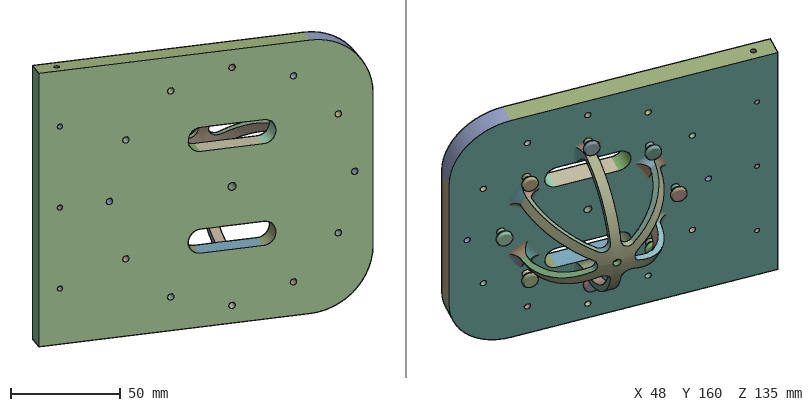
import cadquery as cq
import math

plate_thickness = 10.0
plate_length = 160.0
plate_height = 135.0
corner_radius = 30.0
plate_top = plate_height / 2
plate_front_end = plate_height / 2 - plate_length
cut_margin = 1.6

overall_depth = 48.0
dome_outer_radius = overall_depth - plate_thickness
dome_thickness = 3.0
dome_inner_radius = dome_outer_radius - dome_thickness
arm_count = 6
arm_width = 5.1
arm_junction_radius = 4.0
arm_foot_radius = 4.0

post_count = 8
post_circle_radius = 42.4
post_head_radius = 3.8
post_stem_radius = 2.0
post_section_height = 2.0
post_height = 3 * post_section_height
post_head_fillet = 0.8

slot_length = 42.0
slot_width = 11.8
slot_offset = 25.1
ring_hole_count = 12
ring_hole_circle_radius = 58.7
ring_hole_diameter = 3.0
axis_hole_diameter = 3.8
end_hole_diameter = 2.4
end_hole_inset = 10.0
end_hole_spacing = 40.0
end_hole_y = plate_front_end + end_hole_inset
edge_hole_radius = 1.3
edge_hole_depth = 10.0
drill_point_angle = 118.0


def ring_points(radius, count):
    """Return evenly spaced (y, z) points on a circle about the dome axis."""
    angles = [math.radians(360 * i / count) for i in range(count)]
    return [(radius * math.cos(a), radius * math.sin(a)) for a in angles]


def make_plate():
    plate = cq.Workplane("XY").box(
        plate_thickness, plate_length, plate_height, centered=(False, False, True)
    ).translate((0, plate_front_end, 0))
    return plate.edges("|X and >Y").fillet(corner_radius)


def make_arms():
    """Hemispherical shell trimmed to a six-armed star as seen along X."""
    shell = cq.Workplane("YZ").sphere(dome_outer_radius)
    shell = shell.cut(cq.Workplane("YZ").sphere(dome_inner_radius))

    bar_depth = dome_outer_radius + cut_margin
    bar = cq.Workplane("YZ").rect(arm_width, 2 * bar_depth).extrude(-bar_depth)
    star = bar
    for i in range(1, arm_count // 2):
        star = star.union(bar.rotate((0, 0, 0), (1, 0, 0), i * 360 / arm_count))

    corner_reach = arm_width + cut_margin
    inner_corners = cq.selectors.BoxSelector(
        (-bar_depth, -corner_reach, -corner_reach),
        (0, corner_reach, corner_reach),
    )
    star = star.edges("|X").edges(inner_corners).fillet(arm_junction_radius)
    return shell.intersect(star)


def make_post():
    """Peg revolved about X: stem, flared neck and rounded head."""
    neck_end = 2 * post_section_height
    profile = [
        (0, 0),
        (0, post_stem_radius),
        (-post_section_height, post_stem_radius),
        (-neck_end, post_head_radius),
        (-post_height, post_head_radius),
        (-post_height, 0),
    ]
    post = cq.Workplane("XY").polyline(profile).close().revolve(360, (0, 0, 0), (1, 0, 0))
    return post.faces("<X").edges().fillet(post_head_fillet)


def plate_holes(points, diameter):
    return cq.Workplane("YZ").pushPoints(points).circle(diameter / 2).extrude(plate_thickness)


body = make_plate().union(make_arms())

foot_zone_reach = dome_outer_radius + cut_margin
foot_zone = cq.selectors.BoxSelector(
    (-cut_margin, -foot_zone_reach, -foot_zone_reach),
    (cut_margin, foot_zone_reach, foot_zone_reach),
)
body = body.edges(foot_zone).fillet(arm_foot_radius)

for y, z in ring_points(post_circle_radius, post_count):
    body = body.union(make_post().translate((0, y, z)))

slots = (
    cq.Workplane("YZ", origin=(-arm_foot_radius, 0, 0))
    .pushPoints([(0, slot_offset), (0, -slot_offset)])
    .slot2D(slot_length, slot_width)
    .extrude(arm_foot_radius + plate_thickness)
)
body = body.cut(slots)

body = body.cut(plate_holes(ring_points(ring_hole_circle_radius, ring_hole_count), ring_hole_diameter))
end_hole_points = [(end_hole_y, i * end_hole_spacing) for i in (-1, 0, 1)]
body = body.cut(plate_holes(end_hole_points, end_hole_diameter))

axis_hole = (
    cq.Workplane("YZ", origin=(-dome_outer_radius - cut_margin, 0, 0))
    .circle(axis_hole_diameter / 2)
    .extrude(dome_outer_radius + plate_thickness + 2 * cut_margin)
)
body = body.cut(axis_hole)

drill_tip_depth = edge_hole_depth + edge_hole_radius / math.tan(math.radians(drill_point_angle / 2))
drill_profile = [(0, 0), (edge_hole_radius, 0), (edge_hole_radius, -edge_hole_depth), (0, -drill_tip_depth)]
edge_hole = cq.Workplane("XZ").polyline(drill_profile).close().revolve(360, (0, 0, 0), (0, 1, 0))
result = body.cut(edge_hole.translate((plate_thickness / 2, end_hole_y, plate_top)))